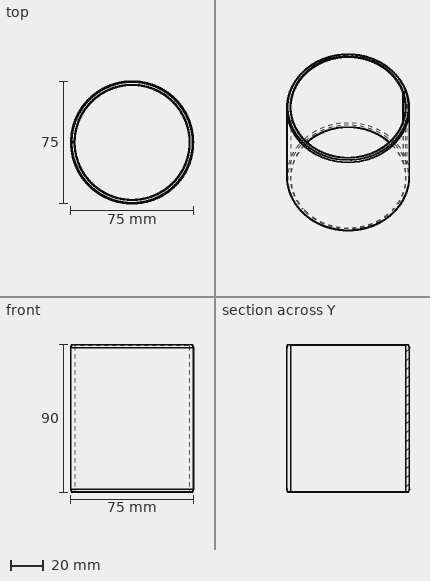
import cadquery as cq

length = 90.0
outer_diameter = 75.0
wall = 2.5
outer_chamfer_height = 1.8
outer_chamfer_depth = 0.6
inner_chamfer = 0.4
split_width = 0.5

outer_radius = outer_diameter / 2
inner_radius = outer_radius - wall
half_length = length / 2


def make_sleeve():
    """Revolve the wall section, chamfered at all four end edges."""
    outer_rim = outer_radius - outer_chamfer_depth
    inner_rim = inner_radius + inner_chamfer
    outer_shoulder = half_length - outer_chamfer_height
    inner_shoulder = half_length - inner_chamfer
    section = [
        (inner_radius, -inner_shoulder),
        (inner_rim, -half_length),
        (outer_rim, -half_length),
        (outer_radius, -outer_shoulder),
        (outer_radius, outer_shoulder),
        (outer_rim, half_length),
        (inner_rim, half_length),
        (inner_radius, inner_shoulder),
    ]
    return cq.Workplane("XZ").polyline(section).close().revolve(360, (0, 0), (0, 1))


def make_split():
    """Full-length slot through the -X wall, with one face on the Y = 0 plane."""
    return cq.Workplane("XY").box(
        outer_radius, split_width, length, centered=(False, False, True)
    ).translate((-outer_radius, 0, 0))


result = make_sleeve().cut(make_split())